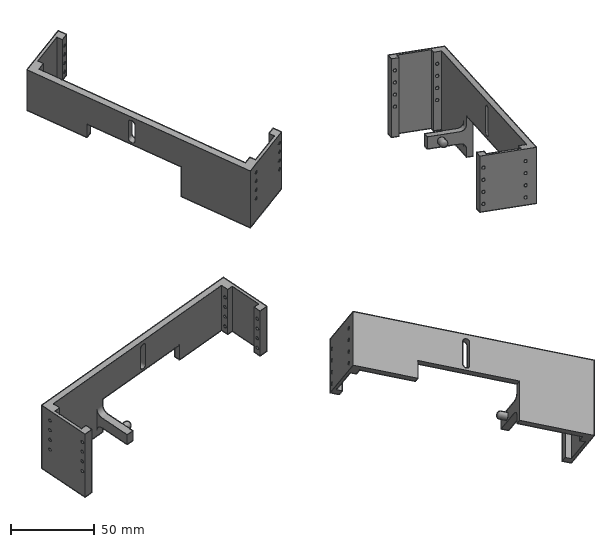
import cadquery as cq

length = 156.5
depth = 36.5
height = 52.0

web_thickness = 4.2
wall_thickness = 2.0
flange_reach = 6.0
rear_flange_depth = 5.0
front_flange_depth = 9.4

left_leg_width = 42.1
left_leg_height = 37.1
bridge_height = 24.9
right_leg_start = 108.0

slot_x = 73.4
slot_width = 4.4
slot_length = 20.0
slot_top_margin = 3.1

hole_diameter = 2.0
hole_rows = 4
hole_pitch = 8.0
front_hole_y = 7.0
rear_hole_y = 34.1

tab_thickness = 5.0
tab_height = 8.1
tab_bottom = 9.4
tab_end_y = 29.5
tab_fillet = 4.2
pin_diameter = 5.0
pin_length = 6.1
pin_nose_radius = 1.9
pin_y = 20.5


def box(x, y, z, size_x, size_y, size_z):
    """Box placed by its lowest corner."""
    return cq.Workplane("XY").box(size_x, size_y, size_z, centered=False).translate((x, y, z))


def make_frame():
    """Extruded channel with recessed end walls and a stepped lower edge."""
    frame = box(0, 0, 0, length, depth, height)
    frame = frame.cut(
        box(flange_reach, web_thickness, 0, length - 2 * flange_reach, depth - web_thickness, height)
    )
    recess_depth = depth - rear_flange_depth - front_flange_depth
    frame = frame.cut(
        box(wall_thickness, front_flange_depth, 0, length - 2 * wall_thickness, recess_depth, height)
    )
    frame = frame.cut(box(0, 0, 0, left_leg_width, depth, height - left_leg_height))
    bridge_length = right_leg_start - left_leg_width
    return frame.cut(box(left_leg_width, 0, 0, bridge_length, depth, height - bridge_height))


def make_slot():
    """Round-ended cutter through the web."""
    slot_z = height - slot_top_margin - slot_length / 2
    return (
        cq.Workplane("XZ", origin=(slot_x, 0, slot_z))
        .slot2D(slot_length, slot_width, 90)
        .extrude(-web_thickness)
    )


def make_wall_holes():
    """Two columns of cutters running along X through both end walls."""
    points = []
    for row in range(1, hole_rows + 1):
        for y in (front_hole_y, rear_hole_y):
            points.append((y, height - row * hole_pitch))
    return cq.Workplane("YZ").pushPoints(points).circle(hole_diameter / 2).extrude(length)


def make_tab():
    """Plate standing off the web, flared by a fillet above and below its root."""
    tab_top = tab_bottom + tab_height
    root_y = web_thickness + tab_fillet
    arc_offset = tab_fillet * (1 - 0.5**0.5)
    arc_y = web_thickness + arc_offset
    return (
        cq.Workplane("YZ", origin=(right_leg_start, 0, 0))
        .moveTo(web_thickness, tab_bottom - tab_fillet)
        .threePointArc((arc_y, tab_bottom - arc_offset), (root_y, tab_bottom))
        .lineTo(tab_end_y, tab_bottom)
        .lineTo(tab_end_y, tab_top)
        .lineTo(root_y, tab_top)
        .threePointArc((arc_y, tab_top + arc_offset), (web_thickness, tab_top + tab_fillet))
        .close()
        .extrude(tab_thickness)
    )


def make_pin():
    """Pin pointing toward -X from the middle of the tab height."""
    return (
        cq.Workplane("YZ", origin=(right_leg_start, pin_y, tab_bottom + tab_height / 2))
        .circle(pin_diameter / 2)
        .extrude(-pin_length)
        .faces("<X")
        .edges()
        .fillet(pin_nose_radius)
    )


result = make_frame().cut(make_slot()).cut(make_wall_holes()).union(make_tab()).union(make_pin())